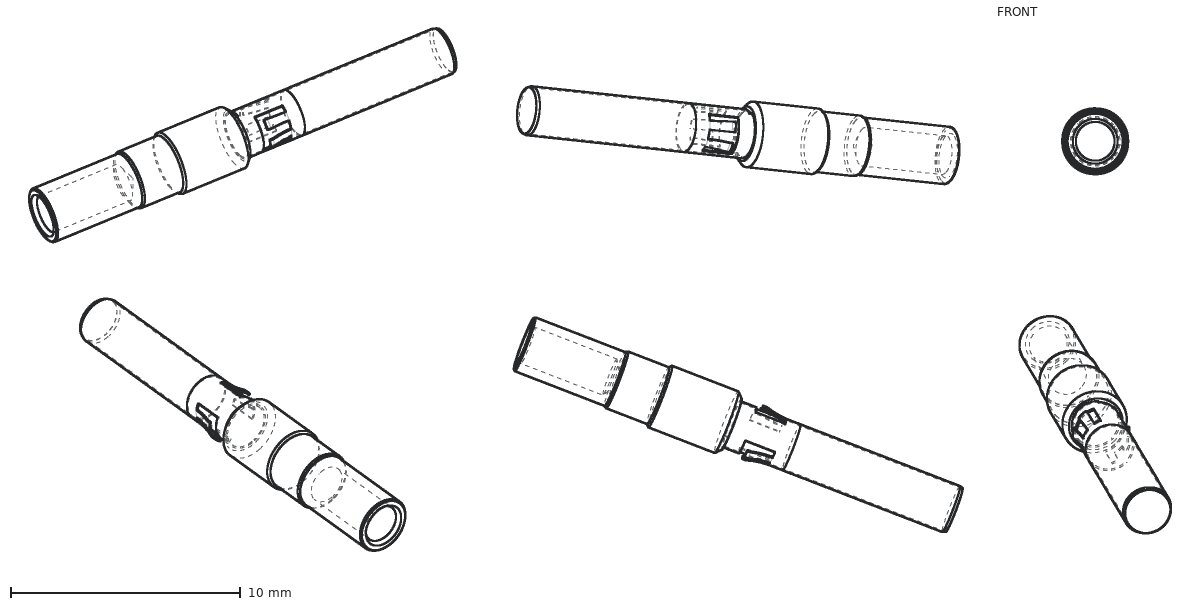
import cadquery as cq
import math

LENGTH = 20.15

SHOULDER_RADIUS = 2.88 / 2
COLLAR_RADIUS = 2.65 / 2
BARREL_RADIUS = 2.52 / 2
BARREL_CHAMFER = 0.06
COLLAR_START = 4.27
SHOULDER_START = 6.28
SHOULDER_END = 9.73
SHOULDER_CHAMFER = 0.25
STEP_CHAMFER = 0.1
COLLAR_CHAMFER_DEPTH = 0.05

BORE_RADIUS = 1.7 / 2
BORE_MOUTH_RADIUS = 1.95 / 2
BORE_MOUTH_DEPTH = 0.2
BORE_DEPTH = 4.03
DRILL_POINT_ANGLE = 118.0

HOOD_RADIUS = 2.15 / 2
HOOD_START = 12.53
HOOD_CHAMFER_LENGTH = 0.15
HOOD_CHAMFER_DEPTH = 0.05

CLIP_RADIUS = HOOD_RADIUS
CLIP_THICKNESS = 0.07
CORE_RADIUS = CLIP_RADIUS - CLIP_THICKNESS
WINDOW_START = 10.47
WINDOW_END = 11.86
WINDOW_ANGLES = (25.5, 205.5)
WINDOW_WIDTH_ANGLE = 101.0
NOTCH_ANGLE = sum(WINDOW_ANGLES) / 2
NOTCH_DEPTH = 0.12
NOTCH_WIDTH_ANGLE = 40.0

FINGER_PITCH_ANGLE = 45.0
FINGER_WIDTH_ANGLE = 22.0
FINGER_TIP_RADIUS = 1.25
FINGER_MIDDLE_RISE = 0.05
FINGER_TIP = 10.71
FINGER_LIP_LENGTH = 0.16


def revolve_about_y(profile):
    """Turn a closed (radius, y) profile through a full circle about the Y axis."""
    return profile.close().revolve(360, (0, 0, 0), (0, 1, 0))


def tube(outer_radius, inner_radius, y_start, y_end):
    profile = cq.Workplane("XY").moveTo(inner_radius, y_start).lineTo(outer_radius, y_start)
    return revolve_about_y(profile.lineTo(outer_radius, y_end).lineTo(inner_radius, y_end))


def sector(profile, middle_angle, width_angle):
    """Turn a closed (radius, y) profile through part of a circle; angles run from +X towards +Z."""
    swept = profile.close().revolve(width_angle, (0, 0, 0), (0, -1, 0))
    start_angle = middle_angle - width_angle / 2
    return swept.rotate((0, 0, 0), (0, -1, 0), start_angle)


def band_sector(y_start, y_end, middle_angle, width_angle):
    """A cutter through the whole clip wall, over a stretch of its length and circumference."""
    inner = CLIP_RADIUS - 2 * CLIP_THICKNESS
    outer = CLIP_RADIUS + CLIP_THICKNESS
    profile = cq.Workplane("XY").moveTo(inner, y_start).lineTo(outer, y_start)
    return sector(profile.lineTo(outer, y_end).lineTo(inner, y_end), middle_angle, width_angle)


def make_wire_bore():
    point_length = BORE_RADIUS / math.tan(math.radians(DRILL_POINT_ANGLE / 2))
    return revolve_about_y(
        cq.Workplane("XY")
        .lineTo(BORE_MOUTH_RADIUS, 0)
        .lineTo(BORE_RADIUS, BORE_MOUTH_DEPTH)
        .lineTo(BORE_RADIUS, BORE_DEPTH)
        .lineTo(0, BORE_DEPTH + point_length)
    )


def make_contact():
    turned = revolve_about_y(
        cq.Workplane("XY")
        .lineTo(BARREL_RADIUS - BARREL_CHAMFER, 0)
        .lineTo(BARREL_RADIUS, BARREL_CHAMFER)
        .lineTo(BARREL_RADIUS, COLLAR_START)
        .lineTo(COLLAR_RADIUS - COLLAR_CHAMFER_DEPTH, COLLAR_START)
        .lineTo(COLLAR_RADIUS, COLLAR_START + STEP_CHAMFER)
        .lineTo(COLLAR_RADIUS, SHOULDER_START)
        .lineTo(SHOULDER_RADIUS - STEP_CHAMFER, SHOULDER_START)
        .lineTo(SHOULDER_RADIUS, SHOULDER_START + STEP_CHAMFER)
        .lineTo(SHOULDER_RADIUS, SHOULDER_END - SHOULDER_CHAMFER)
        .lineTo(SHOULDER_RADIUS - SHOULDER_CHAMFER, SHOULDER_END)
        .lineTo(CORE_RADIUS, SHOULDER_END)
        .lineTo(CORE_RADIUS, LENGTH)
        .lineTo(0, LENGTH)
    )
    return turned.cut(make_wire_bore())


def make_hood():
    return revolve_about_y(
        cq.Workplane("XY")
        .moveTo(CORE_RADIUS, HOOD_START)
        .lineTo(HOOD_RADIUS, HOOD_START)
        .lineTo(HOOD_RADIUS, LENGTH - HOOD_CHAMFER_LENGTH)
        .lineTo(HOOD_RADIUS - HOOD_CHAMFER_DEPTH, LENGTH)
        .lineTo(CORE_RADIUS, LENGTH)
    )


def make_finger(middle_angle):
    """A finger that curls outward from the front edge of the window and ends in a straight lip."""
    ramp_end = FINGER_TIP + FINGER_LIP_LENGTH
    middle_y = (ramp_end + WINDOW_END) / 2
    middle_radius = CLIP_RADIUS + FINGER_MIDDLE_RISE
    inner_tip_radius = FINGER_TIP_RADIUS - CLIP_THICKNESS
    profile = (
        cq.Workplane("XY")
        .moveTo(CLIP_RADIUS, WINDOW_END)
        .threePointArc((middle_radius, middle_y), (FINGER_TIP_RADIUS, ramp_end))
        .lineTo(FINGER_TIP_RADIUS, FINGER_TIP)
        .lineTo(inner_tip_radius, FINGER_TIP)
        .lineTo(inner_tip_radius, ramp_end)
        .threePointArc((middle_radius - CLIP_THICKNESS, middle_y), (CORE_RADIUS, WINDOW_END))
    )
    return sector(profile, middle_angle, FINGER_WIDTH_ANGLE)


def make_clip():
    sleeve = tube(CLIP_RADIUS, CORE_RADIUS, SHOULDER_END, HOOD_START)
    notch_end = SHOULDER_END + NOTCH_DEPTH
    sleeve = sleeve.cut(band_sector(SHOULDER_END, notch_end, NOTCH_ANGLE, NOTCH_WIDTH_ANGLE))
    for window_angle in WINDOW_ANGLES:
        sleeve = sleeve.cut(band_sector(WINDOW_START, WINDOW_END, window_angle, WINDOW_WIDTH_ANGLE))
        for side in (-1, 1):
            sleeve = sleeve.union(make_finger(window_angle + side * FINGER_PITCH_ANGLE / 2))
    return sleeve


contact = make_contact()
hood = make_hood()
clip = make_clip()

result = cq.Compound.makeCompound([contact.solids().val(), hood.val(), clip.solids().val()])